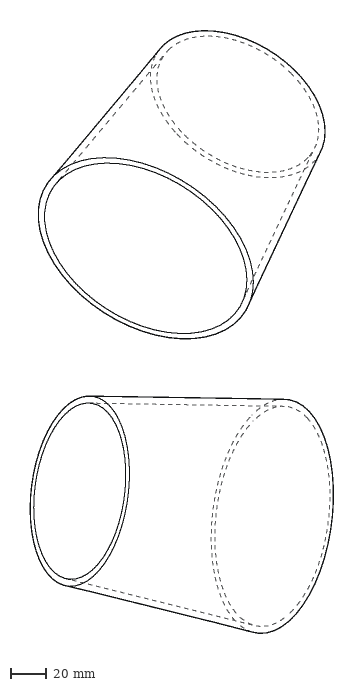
import cadquery as cq

large_diameter = 133.0
small_diameter = 108.0
length = 127.0
wall = 4.0

large_radius = large_diameter / 2
small_radius = small_diameter / 2
front_y = -length / 2
back_y = length / 2

wall_section = [
    (large_radius - wall, front_y),
    (large_radius, front_y),
    (small_radius, back_y),
    (small_radius - wall, back_y),
]

result = (
    cq.Workplane("XY")
    .polyline(wall_section)
    .close()
    .revolve(360, (0, 0, 0), (0, 1, 0))
)